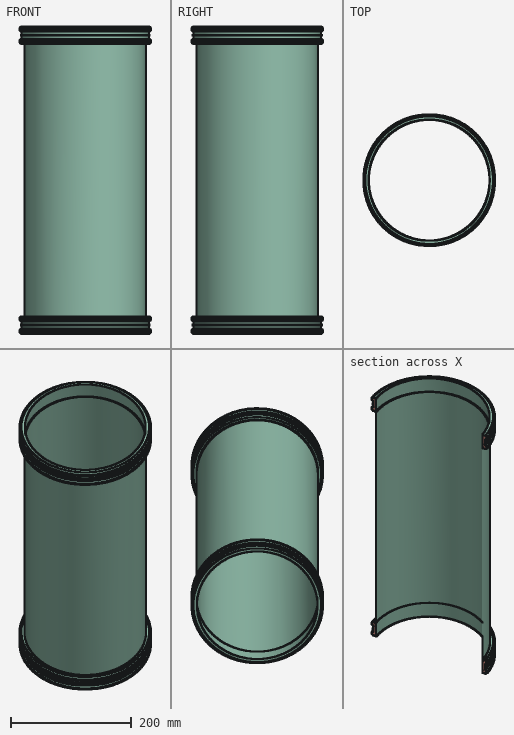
import cadquery as cq

length = 509.0
bore_diameter = 200.0
tube_diameter = 202.0
seat_diameter = 211.5
flange_diameter = 218.5
collar_height = 29.0
bevel_height = 3.0
land_height = 2.5
rib_width = 1.0
rib_height = 1.0

bore_radius = bore_diameter / 2
tube_radius = tube_diameter / 2
seat_radius = seat_diameter / 2
flange_radius = flange_diameter / 2
rib_radius = seat_radius + rib_height
flange_height = 2 * bevel_height + land_height
tube_length = length - 2 * collar_height


def ring(inner_radius, outer_radius, bottom, height):
    """Plain ring about Z, starting at the given height."""
    return (
        cq.Workplane("XY")
        .workplane(offset=bottom)
        .circle(outer_radius)
        .circle(inner_radius)
        .extrude(height)
    )


def flange(bottom):
    """Ring with a bevel above and below its cylindrical rim."""
    land_bottom = bottom + bevel_height
    land_top = land_bottom + land_height
    return (
        cq.Workplane("XZ")
        .moveTo(bore_radius, bottom)
        .lineTo(seat_radius, bottom)
        .lineTo(flange_radius, land_bottom)
        .lineTo(flange_radius, land_top)
        .lineTo(seat_radius, bottom + flange_height)
        .lineTo(bore_radius, bottom + flange_height)
        .close()
        .revolve(360, (0, 0, 0), (0, 1, 0))
    )


def make_collar(bottom):
    """Collar with two flanges and a rib halfway along the groove between them."""
    rib_bottom = bottom + (collar_height - rib_width) / 2
    collar = ring(bore_radius, seat_radius, bottom, collar_height)
    for flange_bottom in (bottom, bottom + collar_height - flange_height):
        collar = collar.union(flange(flange_bottom))
    return collar.union(ring(bore_radius, rib_radius, rib_bottom, rib_width))


def make_pipe():
    """Thin tube carrying its own collar at the lower end."""
    tube = ring(bore_radius, tube_radius, -tube_length / 2, tube_length)
    return tube.union(make_collar(-length / 2))


pipe = make_pipe()

end_collar = make_collar(tube_length / 2)

result = cq.Compound.makeCompound([pipe.val(), end_collar.val()])